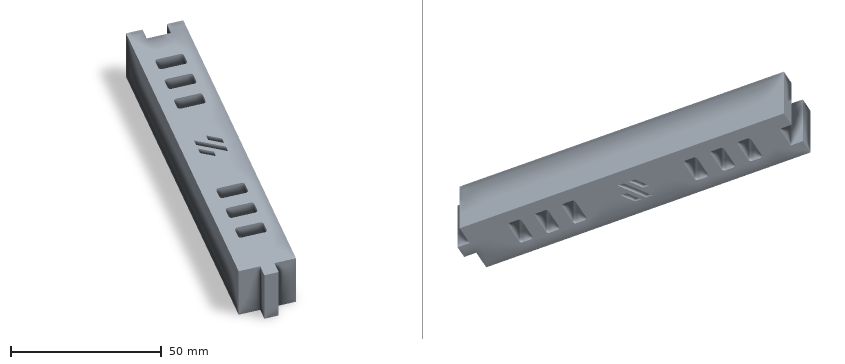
import cadquery as cq

total_length = 124.5
section = 20.0
tab_length = 4.5
tab_width = 5.0
notch_depth = tab_length
notch_width = 8.5
body_length = total_length - tab_length

window_length_x = 5.0
window_length_y = 10.0
window_corner_radius = 1.0
window_pitch = 10.0
windows_per_group = 3
first_window_center = 17.5

slant_height = 9.1
slant_width = 2.2
slant_run = 6.1
slant_pitch = 4.1


def make_body():
    """Square bar centred on the origin, with its end tab and end notch."""
    half_body = body_length / 2
    body = cq.Workplane("XY").box(body_length, section, section)
    tab = (
        cq.Workplane("XY")
        .box(tab_length, tab_width, section)
        .translate((half_body + tab_length / 2, 0, 0))
    )
    notch = (
        cq.Workplane("XY")
        .box(notch_depth, notch_width, section)
        .translate((-half_body + notch_depth / 2, 0, 0))
    )
    return body.union(tab).cut(notch)


def make_windows():
    """Rounded rectangular windows through the full height of the bar."""
    centers = []
    for index in range(windows_per_group):
        offset = body_length / 2 - first_window_center - index * window_pitch
        centers += [(-offset, 0), (offset, 0)]
    return (
        cq.Workplane("XY")
        .pushPoints(centers)
        .rect(window_length_x, window_length_y)
        .extrude(section / 2, both=True)
        .edges("|Z")
        .fillet(window_corner_radius)
    )


def make_slanted_slot(offset_x, bottom_y, top_y):
    """Parallelogram slot whose centre line crosses y = 0 at offset_x."""
    lean = slant_run / slant_height
    bottom_x = offset_x + lean * bottom_y
    top_x = offset_x + lean * top_y
    half_width = slant_width / 2
    return (
        cq.Workplane("XY")
        .polyline([
            (bottom_x - half_width, bottom_y),
            (bottom_x + half_width, bottom_y),
            (top_x + half_width, top_y),
            (top_x - half_width, top_y),
        ])
        .close()
        .extrude(section / 2, both=True)
    )


half_slant = slant_height / 2

result = make_body().cut(make_windows())
result = result.cut(make_slanted_slot(0, -half_slant, half_slant))
result = result.cut(make_slanted_slot(-slant_pitch, 0, half_slant))
result = result.cut(make_slanted_slot(slant_pitch, -half_slant, 0))